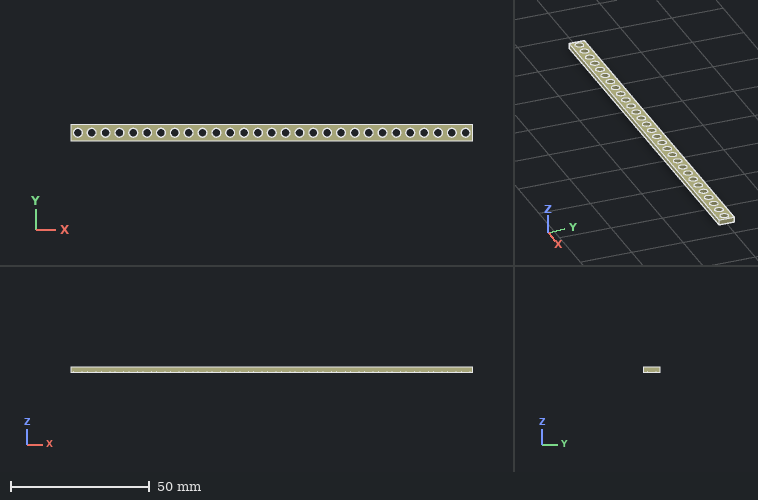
import cadquery as cq

hole_count = 29
hole_pitch = 5.0
hole_diameter = 3.1
strip_width = 6.0
strip_thickness = 2.0
strip_length = hole_count * hole_pitch


def make_strip():
    """Plain rectangular bar centred on the origin."""
    return cq.Workplane("XY").box(strip_length, strip_width, strip_thickness)


def drill_hole_row(strip):
    """Row of through holes, evenly spaced along the centreline."""
    return (
        strip.faces(">Z")
        .workplane()
        .rarray(hole_pitch, hole_pitch, hole_count, 1)
        .hole(hole_diameter)
    )


result = drill_hole_row(make_strip())